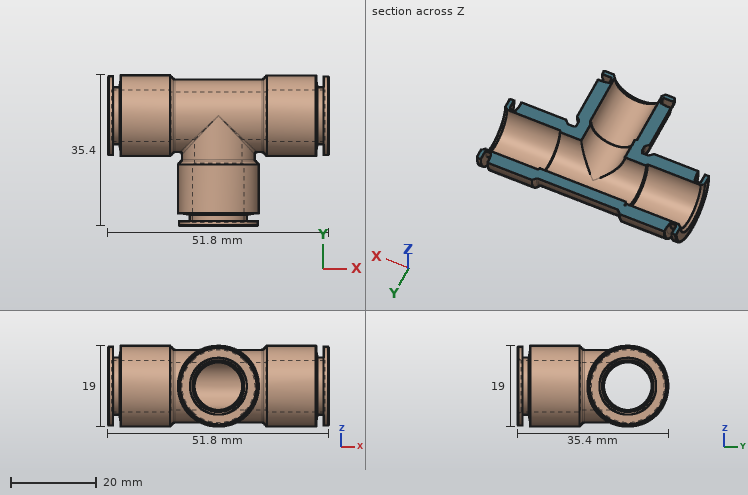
import cadquery as cq
import math

port_reach = 25.9

neck_radius = 8.55
barrel_radius = 9.505
barrel_start = 11.4
barrel_end = 23.0
barrel_edge_chamfer = 0.15
crease_radius = 0.5

shoulder_angle = math.radians(45)
shoulder_root_radius = 0.5
shoulder_start = barrel_start - (barrel_radius - neck_radius) / math.tan(shoulder_angle)
root_tangent = shoulder_root_radius * math.tan(shoulder_angle / 2)
root_start = (neck_radius, shoulder_start - root_tangent)
root_end = (
    neck_radius + root_tangent * math.sin(shoulder_angle),
    shoulder_start + root_tangent * math.cos(shoulder_angle),
)
root_middle = (
    neck_radius + shoulder_root_radius * (1 - math.cos(shoulder_angle / 2)),
    root_start[1] + shoulder_root_radius * math.sin(shoulder_angle / 2),
)

lip_radius = 8.2
lip_end = barrel_end + 0.25

sleeve_radius = 6.75
flange_radius = 9.25
flange_back = port_reach - 1.2
flange_root_radius = 0.15
flange_chamfer_radial = 0.3
flange_chamfer_axial = 0.2

mouth_radius = 6.7
mouth_depth = 0.85
socket_radius = 6.05
socket_bottom = barrel_start
passage_radius = 5.6
step_height = 0.25

PORT_TURNS = [
    ((0, 0, 1), -90),
    ((0, 0, 1), 90),
    ((0, 0, 1), 180),
]


def revolve_on_y(profile):
    """Turn a closed (radius, height) profile around the Y axis."""
    return profile.close().revolve(360, (0, 0, 0), (0, 1, 0))


def make_port():
    """Outside of one port: neck, shoulder, barrel, lip, sleeve and flange."""
    profile = (
        cq.Workplane("XY")
        .lineTo(neck_radius, 0)
        .lineTo(*root_start)
        .threePointArc(root_middle, root_end)
        .lineTo(barrel_radius, barrel_start)
        .lineTo(barrel_radius, barrel_end - barrel_edge_chamfer)
        .lineTo(barrel_radius - barrel_edge_chamfer, barrel_end)
        .lineTo(lip_radius, barrel_end)
        .lineTo(sleeve_radius, lip_end)
        .lineTo(sleeve_radius, flange_back - flange_root_radius)
        .tangentArcPoint((sleeve_radius + flange_root_radius, flange_back), relative=False)
        .lineTo(flange_radius, flange_back)
        .lineTo(flange_radius, port_reach - flange_chamfer_axial)
        .lineTo(flange_radius - flange_chamfer_radial, port_reach)
        .lineTo(0, port_reach)
    )
    return revolve_on_y(profile)


def make_bore():
    """Hollow of one port, from the tee centre out through the mouth."""
    profile = (
        cq.Workplane("XY")
        .lineTo(passage_radius, 0)
        .lineTo(passage_radius, socket_bottom - step_height)
        .lineTo(socket_radius, socket_bottom)
        .lineTo(socket_radius, port_reach - mouth_depth)
        .lineTo(mouth_radius, port_reach)
        .lineTo(0, port_reach)
    )
    return revolve_on_y(profile)


def combine_ports(shape):
    """Join one copy of a port shape for every port of the tee."""
    joined = cq.Workplane("XY")
    for axis, angle in PORT_TURNS:
        joined = joined.union(shape.rotate((0, 0, 0), axis, angle))
    return joined


def round_creases(body):
    """Round the elliptical creases where the side neck meets the straight run."""
    creases = [edge for edge in body.edges().vals() if edge.geomType() == "ELLIPSE"]
    return body.newObject(creases).fillet(crease_radius)


outside = round_creases(combine_ports(make_port()))
result = outside.cut(combine_ports(make_bore()))